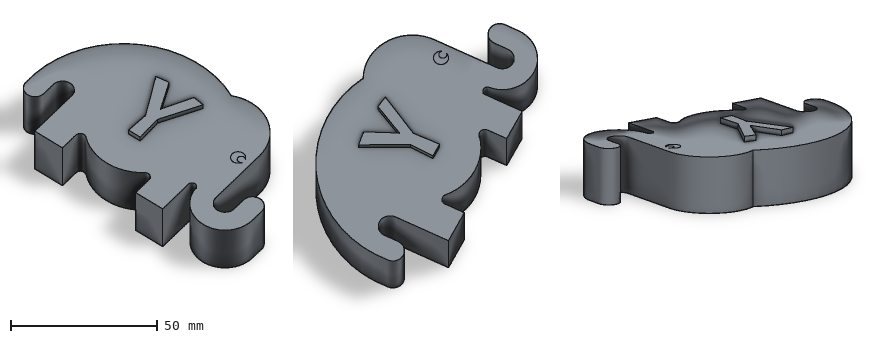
import cadquery as cq
import math

length = 99.05
height = 58.4
thickness = 20.0
letter_thickness = 2.0

limb_width = 8.0
limb_radius = limb_width / 2
low_arc_y = 15.3
high_arc_y = 20.3

trunk_radius = 1.5 * limb_width
trunk_x = length - trunk_radius
face_x = trunk_x - limb_radius

back_radius = 40.8
back_y = height - back_radius
tail_x = back_radius - math.sqrt(back_radius**2 - (low_arc_y - back_y)**2)
neck_x = 58.7
neck_y = back_y + math.sqrt(back_radius**2 - (neck_x - back_radius)**2)
head_radius = 16.8
head_x = face_x - head_radius
head_y = neck_y - math.sqrt(head_radius**2 - (neck_x - head_x)**2)

rear_leg_x = 2 * limb_width
rear_leg_inner_x = 28.1
front_leg_inner_x = 60.1
front_leg_x = 71.9

belly_x = (rear_leg_inner_x + front_leg_inner_x) / 2
belly_bottom_y = 4.2
belly_round_radius = 2.0
belly_round_y = 7.3
belly_half_span = belly_x - rear_leg_inner_x - belly_round_radius
belly_rise = belly_round_y - belly_bottom_y
belly_radius = (belly_half_span**2 + belly_rise**2 - belly_round_radius**2) / (
    2 * (belly_rise + belly_round_radius)
)
belly_y = belly_bottom_y + belly_radius

throat_drop = 1.1
throat_y = low_arc_y - throat_drop
throat_reach = trunk_x - front_leg_x
throat_radius = (throat_reach**2 + throat_drop**2 - trunk_radius**2) / (
    2 * (throat_reach + trunk_radius)
)
throat_x = front_leg_x + throat_radius

eye_x = 77.8
eye_y = 34.1
eye_radius = 2.6
pupil_radius = 1.4
pupil_offset = 1.4
eye_depth = 2.0

letter_points = [
    (34.2, 43.6),
    (39.4, 44.4),
    (44.6, 33.2),
    (50.3, 44.4),
    (54.8, 43.8),
    (51.2, 37.2),
    (46.7, 28.9),
    (46.95, 19.0),
    (41.9, 19.0),
    (42.3, 27.8),
    (37.5, 37.2),
]


def point_on_circle(center, radius, toward):
    """Point of a circle lying in the direction of another point."""
    dx = toward[0] - center[0]
    dy = toward[1] - center[1]
    distance = math.hypot(dx, dy)
    return (center[0] + radius * dx / distance, center[1] + radius * dy / distance)


def elephant_blank():
    """Elephant silhouette, clockwise from the tail, extruded to full thickness."""
    neck = (neck_x, neck_y)
    trunk_center = (trunk_x, low_arc_y)
    throat_center = (throat_x, throat_y)
    throat_tangent = point_on_circle(throat_center, throat_radius, trunk_center)

    belly_center = (belly_x, belly_y)
    front_round = (front_leg_inner_x - belly_round_radius, belly_round_y)
    rear_round = (rear_leg_inner_x + belly_round_radius, belly_round_y)
    belly_front = point_on_circle(front_round, belly_round_radius, belly_center)
    belly_rear = point_on_circle(rear_round, belly_round_radius, belly_center)

    return (
        cq.Workplane("XY")
        .moveTo(tail_x, low_arc_y)
        .threePointArc((back_radius, height), neck)
        .threePointArc((head_x, head_y + head_radius), (face_x, head_y))
        .lineTo(face_x, low_arc_y)
        .threePointArc((trunk_x, low_arc_y - limb_radius), (trunk_x + limb_radius, low_arc_y))
        .lineTo(trunk_x + limb_radius, high_arc_y)
        .threePointArc((length - limb_radius, high_arc_y + limb_radius), (length, high_arc_y))
        .lineTo(length, low_arc_y)
        .threePointArc((trunk_x, low_arc_y - trunk_radius), throat_tangent)
        .threePointArc((throat_x, throat_y + throat_radius), (front_leg_x, throat_y))
        .lineTo(front_leg_x, 0)
        .lineTo(front_leg_inner_x, 0)
        .lineTo(front_leg_inner_x, belly_round_y)
        .threePointArc((front_round[0], belly_round_y + belly_round_radius), belly_front)
        .threePointArc((belly_x, belly_bottom_y), belly_rear)
        .threePointArc(
            (rear_round[0], belly_round_y + belly_round_radius),
            (rear_leg_inner_x, belly_round_y),
        )
        .lineTo(rear_leg_inner_x, 0)
        .lineTo(rear_leg_x, 0)
        .lineTo(rear_leg_x, high_arc_y)
        .threePointArc((rear_leg_x - limb_radius, high_arc_y + limb_radius), (limb_width, high_arc_y))
        .lineTo(limb_width, low_arc_y)
        .threePointArc((limb_radius, low_arc_y - limb_radius), (tail_x, low_arc_y))
        .close()
        .extrude(thickness)
    )


def make_eye():
    """Disc with the pupil cut from its front side, leaving a crescent."""
    floor = cq.Workplane("XY").workplane(offset=thickness - eye_depth)
    disc = floor.center(eye_x, eye_y).circle(eye_radius).extrude(eye_depth)
    pupil = floor.center(eye_x + pupil_offset, eye_y).circle(pupil_radius).extrude(eye_depth)
    return disc.cut(pupil)


def make_letter():
    """Raised letter standing on the top face."""
    top = cq.Workplane("XY").workplane(offset=thickness)
    return top.polyline(letter_points).close().extrude(letter_thickness)


eye = make_eye()
elephant = elephant_blank().cut(eye)
letter = make_letter()

result = cq.Compound.makeCompound([elephant.val(), eye.val(), letter.val()])